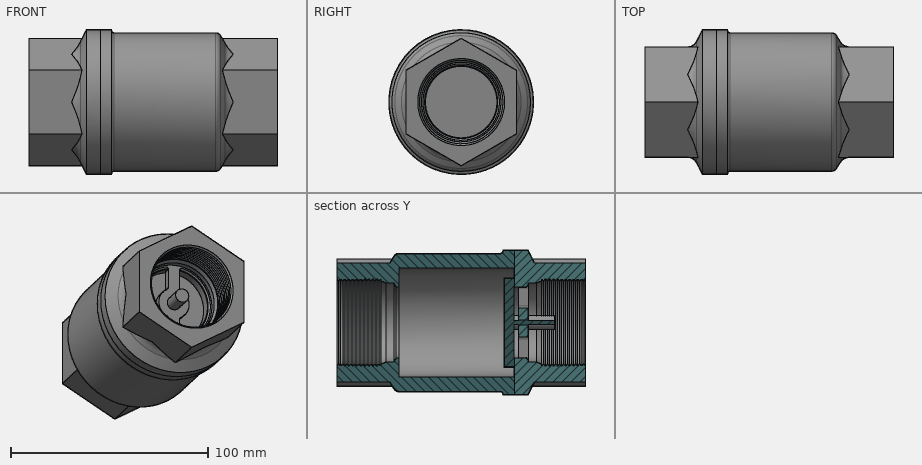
import cadquery as cq
import math


LENGTH = 126.0
JOINT_X = 36.2
COLLAR_R = 73.5 / 2
BARREL_R = 35.2

HEX_FLATS = 56.0
HUB_R = HEX_FLATS / 2
NECK_FILLET = 5.0

COLLAR_START_X = 29.1
COLLAR_END_X = 42.0
COLLAR_FILLET = 1.1
CAP_CONE_ANGLE = 63.5

BARREL_END_X = 94.5
SHOULDER_R = 3.2
HOUSING_CONE_ANGLE = 58.0

MOUTH_R = 22.0
THREAD_CREST_R = 21.2
MOUTH_CHAMFER = MOUTH_R - THREAD_CREST_R
THREAD_TURNS = 10
THREAD_END_X = 22.3
THREAD_PITCH = (THREAD_END_X - MOUTH_CHAMFER) / (THREAD_TURNS + 0.5)
THREAD_DEPTH = THREAD_PITCH / 2
TAPER_END_X = 25.0
PASSAGE_R = 20.2
PORT_X = 29.0
PORT_R = 19.4
PORT_CHAMFER = 0.9
SEAT_R = 18.1

BRIDGE_WIDTH = 5.9
BRIDGE_DEPTH = 5.0
BRIDGE_FILLET = 1.3
BOSS_R = 8.1
STEM_R = 3.5
STEM_TIP_X = 15.6

CHAMBER_R = 27.7
CHAMBER_END_X = BARREL_END_X
DISC_R = 22.7
DISC_THICKNESS = 5.0


def revolve_about_x(profile):
    """Revolve a closed wire, drawn in XY with Y as radius, about the flow axis."""
    return profile.close().revolve(360, (0, 0, 0), (1, 0, 0))


def cylinder_x(radius, start_x, end_x):
    return cq.Workplane("YZ", origin=(start_x, 0, 0)).circle(radius).extrude(end_x - start_x)


def hex_prism(start_x, end_x):
    """Hexagon along X with two corners on the Z axis."""
    across_corners = HEX_FLATS / math.cos(math.pi / 6)
    prism = cq.Workplane("YZ", origin=(start_x, 0, 0)).polygon(6, across_corners).extrude(end_x - start_x)
    return prism.rotate((0, 0, 0), (1, 0, 0), 90)


def arc_middle(center_x, center_r, radius, start_degrees, end_degrees):
    middle = math.radians((start_degrees + end_degrees) / 2)
    return (center_x + radius * math.cos(middle), center_r + radius * math.sin(middle))


def threaded_port():
    """Cutter for one port entered at X = 0: mouth chamfer, thread of V rings, taper, passage and port."""
    profile = cq.Workplane("XY").moveTo(0, 0).lineTo(0, MOUTH_R).lineTo(MOUTH_CHAMFER, THREAD_CREST_R)
    root_r = THREAD_CREST_R + THREAD_DEPTH
    for turn in range(THREAD_TURNS):
        crest_x = MOUTH_CHAMFER + THREAD_PITCH * turn
        profile = profile.lineTo(crest_x + THREAD_PITCH / 2, root_r)
        profile = profile.lineTo(crest_x + THREAD_PITCH, THREAD_CREST_R)
    profile = (
        profile.lineTo(THREAD_END_X, root_r)
        .lineTo(THREAD_END_X, THREAD_CREST_R)
        .lineTo(TAPER_END_X, PASSAGE_R)
        .lineTo(PORT_X, PASSAGE_R)
        .lineTo(PORT_X, PORT_R)
        .lineTo(PORT_X + PORT_CHAMFER, PORT_R - PORT_CHAMFER)
        .lineTo(PORT_X + PORT_CHAMFER, SEAT_R)
        .lineTo(JOINT_X, SEAT_R)
        .lineTo(JOINT_X, 0)
    )
    return revolve_about_x(profile)


def guide_bridge():
    """Bar across the inlet port with a round boss, filleted at the boss and roots, bored for the stem."""
    section = cq.Workplane("YZ", origin=(PORT_X, 0, 0))
    root_ring = section.circle(PASSAGE_R).circle(PORT_R).extrude(BRIDGE_DEPTH)
    bar = section.rect(BRIDGE_WIDTH, PASSAGE_R + PORT_R).extrude(BRIDGE_DEPTH)
    boss = section.circle(BOSS_R).extrude(BRIDGE_DEPTH)
    along_bar = cq.selectors.BoxSelector(
        (PORT_X, -BRIDGE_WIDTH, -PASSAGE_R),
        (PORT_X + BRIDGE_DEPTH, BRIDGE_WIDTH, PASSAGE_R),
    )
    bridge = root_ring.union(bar).union(boss).edges("|X").edges(along_bar).fillet(BRIDGE_FILLET)
    bore = section.circle(STEM_R).extrude(BRIDGE_DEPTH)
    return bridge.cut(bore)


def make_cap():
    angle = math.radians(CAP_CONE_ANGLE)
    cone_foot_r = HUB_R + NECK_FILLET * (1 - math.cos(angle))
    cone_foot_x = COLLAR_START_X - (COLLAR_R - cone_foot_r) / math.tan(angle)
    neck_x = cone_foot_x - NECK_FILLET * math.sin(angle)
    middle = arc_middle(neck_x, HUB_R + NECK_FILLET, NECK_FILLET, -90, CAP_CONE_ANGLE - 90)
    collar = revolve_about_x(
        cq.Workplane("XY")
        .moveTo(neck_x, 0)
        .lineTo(neck_x, HUB_R)
        .threePointArc(middle, (cone_foot_x, cone_foot_r))
        .lineTo(COLLAR_START_X, COLLAR_R)
        .lineTo(JOINT_X, COLLAR_R)
        .lineTo(JOINT_X, 0)
    )
    return collar.union(hex_prism(0, JOINT_X)).cut(threaded_port()).union(guide_bridge())


def make_housing():
    angle = math.radians(HOUSING_CONE_ANGLE)
    collar_fillet_x = COLLAR_END_X + COLLAR_FILLET
    collar_fillet_middle = arc_middle(collar_fillet_x, BARREL_R + COLLAR_FILLET, COLLAR_FILLET, 180, 270)
    cone_top_x = BARREL_END_X + SHOULDER_R * math.sin(angle)
    cone_top_r = BARREL_R - SHOULDER_R * (1 - math.cos(angle))
    shoulder_middle = arc_middle(BARREL_END_X, BARREL_R - SHOULDER_R, SHOULDER_R, 90, 90 - HOUSING_CONE_ANGLE)
    cone_foot_r = HUB_R + NECK_FILLET * (1 - math.cos(angle))
    cone_foot_x = cone_top_x + (cone_top_r - cone_foot_r) / math.tan(angle)
    neck_x = cone_foot_x + NECK_FILLET * math.sin(angle)
    neck_middle = arc_middle(neck_x, HUB_R + NECK_FILLET, NECK_FILLET, 270, 270 - HOUSING_CONE_ANGLE)
    barrel = revolve_about_x(
        cq.Workplane("XY")
        .moveTo(JOINT_X, 0)
        .lineTo(JOINT_X, COLLAR_R)
        .lineTo(COLLAR_END_X, COLLAR_R)
        .lineTo(COLLAR_END_X, BARREL_R + COLLAR_FILLET)
        .threePointArc(collar_fillet_middle, (collar_fillet_x, BARREL_R))
        .lineTo(BARREL_END_X, BARREL_R)
        .threePointArc(shoulder_middle, (cone_top_x, cone_top_r))
        .lineTo(cone_foot_x, cone_foot_r)
        .threePointArc(neck_middle, (neck_x, HUB_R))
        .lineTo(neck_x, 0)
    )
    outlet_port = threaded_port().mirror("YZ").translate((LENGTH, 0, 0))
    chamber = cylinder_x(CHAMBER_R, JOINT_X, CHAMBER_END_X)
    return barrel.union(hex_prism(CHAMBER_END_X, LENGTH)).cut(chamber).cut(outlet_port)


def make_disc():
    """Disc resting on the cap's inner face, its stem passing through the boss and standing out in front."""
    disc = cylinder_x(DISC_R, JOINT_X, JOINT_X + DISC_THICKNESS)
    stem = cylinder_x(STEM_R, STEM_TIP_X, JOINT_X)
    return disc.union(stem)


cap = make_cap()
housing = make_housing()
disc = make_disc()

result = cq.Compound.makeCompound([cap.solids().val(), housing.solids().val(), disc.solids().val()])